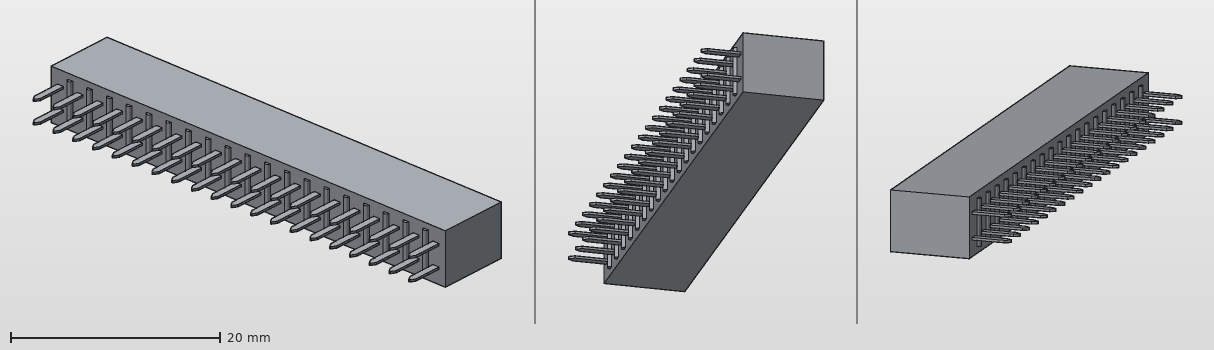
import cadquery as cq

length = 50.67
depth = 8.0
height = 6.1

pin_columns = 20
pitch = 2.54
row_offsets = (-pitch / 2, pitch / 2)
pin_length = 3.81
pin_width = 0.762
pin_thickness = 0.25
tip_length = 0.52
tip_width = 0.15

rib_columns = pin_columns - 1
rib_radius = 0.32
rib_height = 4.75


def column_positions(count):
    """X positions of evenly pitched columns centred on the housing."""
    return [(i - (count - 1) / 2) * pitch for i in range(count)]


def make_housing():
    return cq.Workplane("XY").box(length, depth, height, centered=(True, False, True))


def make_pins():
    """Tapered blades, drawn in plan and extruded through their thickness."""
    half_width = pin_width / 2
    half_tip = tip_width / 2
    shoulder = tip_length - pin_length
    outline = [
        (-half_width, 0),
        (-half_width, shoulder),
        (-half_tip, -pin_length),
        (half_tip, -pin_length),
        (half_width, shoulder),
        (half_width, 0),
    ]
    pin = cq.Workplane("XY").polyline(outline).close().extrude(pin_thickness / 2, both=True).val()
    return [
        pin.translate(cq.Vector(x, 0, z))
        for x in column_positions(pin_columns)
        for z in row_offsets
    ]


def make_ribs():
    """Bars with a semicircular section, standing off the pin face."""
    rib = (
        cq.Workplane("XY")
        .moveTo(-rib_radius, 0)
        .threePointArc((0, -rib_radius), (rib_radius, 0))
        .close()
        .extrude(rib_height / 2, both=True)
        .val()
    )
    return [rib.translate(cq.Vector(x, 0, 0)) for x in column_positions(rib_columns)]


housing = make_housing().val()
result = cq.Workplane("XY").newObject([housing.fuse(*make_pins(), *make_ribs())])